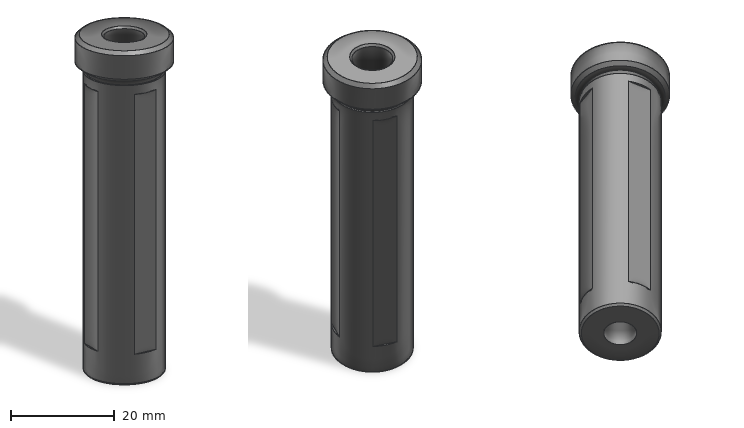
import cadquery as cq
import math

length = 69.85
head_diameter = 19.1
body_diameter = 15.85
neck_diameter = 15.0

head_height = 6.3
neck_height = 1.25
head_bottom = length - head_height
neck_bottom = head_bottom - neck_height

head_chamfer_width = 0.85
head_chamfer_height = 0.7
foot_chamfer_width = 0.4
foot_chamfer_height = 0.4

flat_count = 4
flat_width = 4.9
flat_bottom = 6.4
flat_top = 60.35
flat_distance = math.sqrt((body_diameter / 2) ** 2 - (flat_width / 2) ** 2)

bore_diameter = 7.9
bore_chamfer = 0.4
small_bore_diameter = 6.35
bore_floor = flat_bottom


def turned_body():
    """Revolve the half profile of the head, neck and body about Z."""
    head_radius = head_diameter / 2
    body_radius = body_diameter / 2
    neck_radius = neck_diameter / 2
    head_face_radius = head_radius - head_chamfer_width
    profile = [
        (0, 0),
        (body_radius - foot_chamfer_width, 0),
        (body_radius, foot_chamfer_height),
        (body_radius, neck_bottom),
        (neck_radius, neck_bottom),
        (neck_radius, head_bottom),
        (head_face_radius, head_bottom),
        (head_radius, head_bottom + head_chamfer_height),
        (head_radius, length - head_chamfer_height),
        (head_face_radius, length),
        (0, length),
    ]
    return cq.Workplane("XZ").polyline(profile).close().revolve(360, (0, 0), (0, 1))


def stepped_bore():
    """Wide bore with a chamfered mouth, narrowing to a small bore at the bottom."""
    bore_radius = bore_diameter / 2
    small_radius = small_bore_diameter / 2
    profile = [
        (0, 0),
        (small_radius, 0),
        (small_radius, bore_floor),
        (bore_radius, bore_floor),
        (bore_radius, length - bore_chamfer),
        (bore_radius + bore_chamfer, length),
        (0, length),
    ]
    return cq.Workplane("XZ").polyline(profile).close().revolve(360, (0, 0), (0, 1))


def flat_cutter(angle):
    """Block that trims one flat on the side of the body at the given angle."""
    block = cq.Workplane("XY").box(
        body_diameter, body_diameter, flat_top - flat_bottom, centered=(False, True, False)
    )
    return block.translate((flat_distance, 0, flat_bottom)).rotate((0, 0, 0), (0, 0, 1), angle)


result = turned_body().cut(stepped_bore())
for index in range(flat_count):
    result = result.cut(flat_cutter(index * 360 / flat_count))